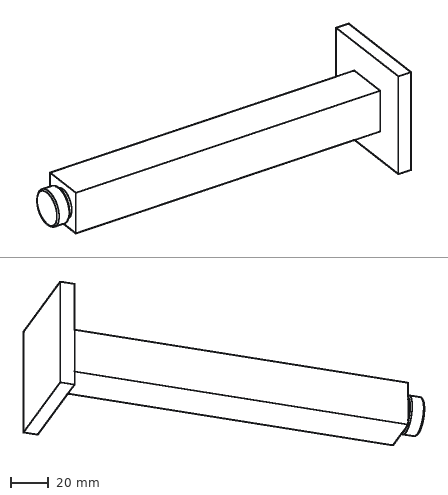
import cadquery as cq

total_length = 210.0
plate_side = 60.0
plate_thickness = 8.0
arm_side = 25.0

stub_length = 10.0
neck_diameter = 17.0
collar_diameter = 21.0
collar_length = 8.0
collar_chamfer = 0.8

arm_end = total_length - stub_length
collar_start = total_length - collar_length


def outward_plane(distance):
    """Sketch plane at the given distance from the mounting face, facing -Y."""
    return cq.Workplane("XZ", origin=(0, -distance, 0))


def make_plate():
    return outward_plane(0).rect(plate_side, plate_side).extrude(plate_thickness)


def make_arm():
    arm_length = arm_end - plate_thickness
    return outward_plane(plate_thickness).rect(arm_side, arm_side).extrude(arm_length)


def make_neck():
    neck_length = stub_length - collar_length
    return outward_plane(arm_end).circle(neck_diameter / 2).extrude(neck_length)


def make_collar():
    collar = outward_plane(collar_start).circle(collar_diameter / 2).extrude(collar_length)
    return collar.edges("%CIRCLE").chamfer(collar_chamfer)


result = make_plate().union(make_arm()).union(make_neck()).union(make_collar())